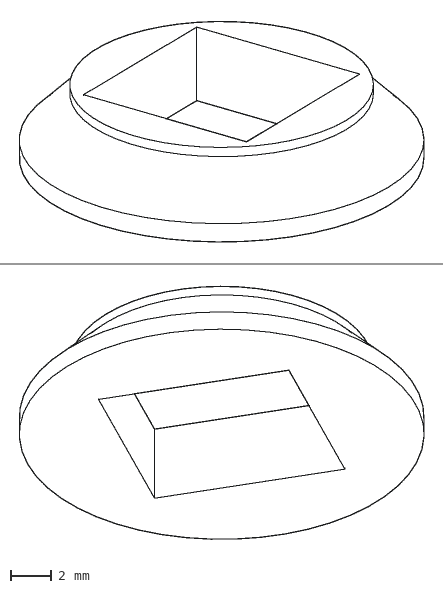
import cadquery as cq

base_diameter = 20.0
top_diameter = 15.0
total_height = 4.0
base_rim_height = 1.0
top_rim_height = 0.5
square_side = 9.8

base_radius = base_diameter / 2
top_radius = top_diameter / 2
cone_top = total_height - top_rim_height

half_profile = (
    cq.Workplane("XZ")
    .moveTo(0, 0)
    .lineTo(base_radius, 0)
    .lineTo(base_radius, base_rim_height)
    .lineTo(top_radius, cone_top)
    .lineTo(top_radius, total_height)
    .lineTo(0, total_height)
    .close()
)
body = half_profile.revolve(360, (0, 0, 0), (0, 1, 0))

square_opening = cq.Workplane("XY").rect(square_side, square_side).extrude(total_height)

result = body.cut(square_opening)